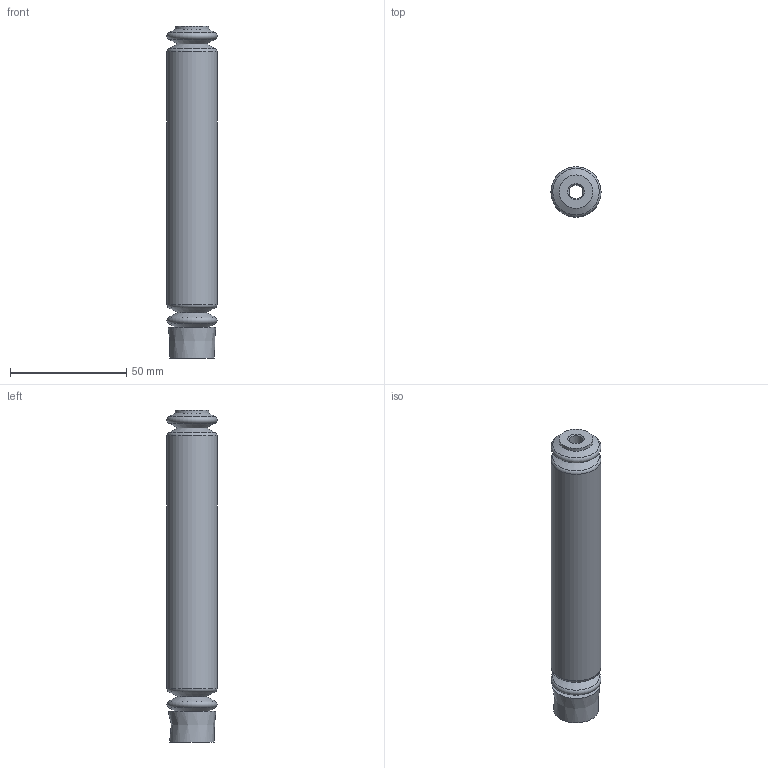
import cadquery as cq
import math

total_length = 142.57
body_radius = 21.5 / 2

cone_angle = math.radians(29)
round_radius = 1.5
groove_radius = 6.25
collar_radius = 14.4 / 2
collar_height = 1.45
bore_radius = 6.0 / 2
bore_chamfer = 0.5

grip_height = 13.3
grip_top_radius = 10.25
grip_bottom_radius = 9.6
waist_height = 7.5
waist_half_width = 9.75
waist_front = 9.75
waist_back = 8.95

tangent_rise = round_radius * math.cos(cone_angle)
tangent_radius = body_radius - round_radius * (1 - math.sin(cone_angle))
mid_rise = round_radius * math.sin(cone_angle)
mid_radius = body_radius - round_radius * (1 - math.cos(cone_angle))


def rise_to(radius):
    """Axial distance from a rounding's widest point to the given cone radius."""
    return tangent_rise + (tangent_radius - radius) * math.tan(cone_angle)


bead_to_collar = rise_to(collar_radius)
bead_to_groove = rise_to(groove_radius)

lower_bead_z = grip_height + bead_to_collar
lower_groove_z = lower_bead_z + bead_to_groove
body_bottom_z = lower_groove_z + bead_to_groove
collar_z = total_length - collar_height
upper_bead_z = collar_z - bead_to_collar
upper_groove_z = upper_bead_z - bead_to_groove
body_top_z = upper_groove_z - bead_to_groove


def add_bead(profile, z):
    """Continue the profile upwards around a bead centred at height z."""
    return profile.lineTo(tangent_radius, z - tangent_rise).threePointArc(
        (body_radius, z), (tangent_radius, z + tangent_rise)
    )


def make_turned_body():
    """Beads, grooves, main cylinder and collar, turned about Z."""
    profile = cq.Workplane("XZ").moveTo(0, grip_height).lineTo(collar_radius, grip_height)
    profile = add_bead(profile, lower_bead_z).lineTo(groove_radius, lower_groove_z)
    profile = (
        profile.lineTo(tangent_radius, body_bottom_z - tangent_rise)
        .threePointArc((mid_radius, body_bottom_z - mid_rise), (body_radius, body_bottom_z))
        .lineTo(body_radius, body_top_z)
        .threePointArc((mid_radius, body_top_z + mid_rise), (tangent_radius, body_top_z + tangent_rise))
        .lineTo(groove_radius, upper_groove_z)
    )
    profile = add_bead(profile, upper_bead_z)
    profile = (
        profile.lineTo(collar_radius, collar_z)
        .lineTo(collar_radius, total_length)
        .lineTo(0, total_length)
        .close()
    )
    return profile.revolve(360, (0, 0, 0), (0, 1, 0))


def make_grip():
    """Smooth loft through the bottom circle, the waist oval and the top circle."""
    waist_half_depth = (waist_front + waist_back) / 2
    waist_offset = (waist_back - waist_front) / 2
    return (
        cq.Workplane("XY")
        .circle(grip_bottom_radius)
        .workplane(offset=waist_height)
        .center(0, waist_offset)
        .ellipse(waist_half_width, waist_half_depth)
        .workplane(offset=grip_height - waist_height)
        .center(0, -waist_offset)
        .circle(grip_top_radius)
        .loft(combine=True)
    )


def make_bore():
    """Through bore with a chamfered mouth at the upper end."""
    mouth_radius = bore_radius + bore_chamfer
    return (
        cq.Workplane("XZ")
        .lineTo(bore_radius, 0)
        .lineTo(bore_radius, total_length - bore_chamfer)
        .lineTo(mouth_radius, total_length)
        .lineTo(0, total_length)
        .close()
        .revolve(360, (0, 0, 0), (0, 1, 0))
    )


result = make_turned_body().union(make_grip()).cut(make_bore())